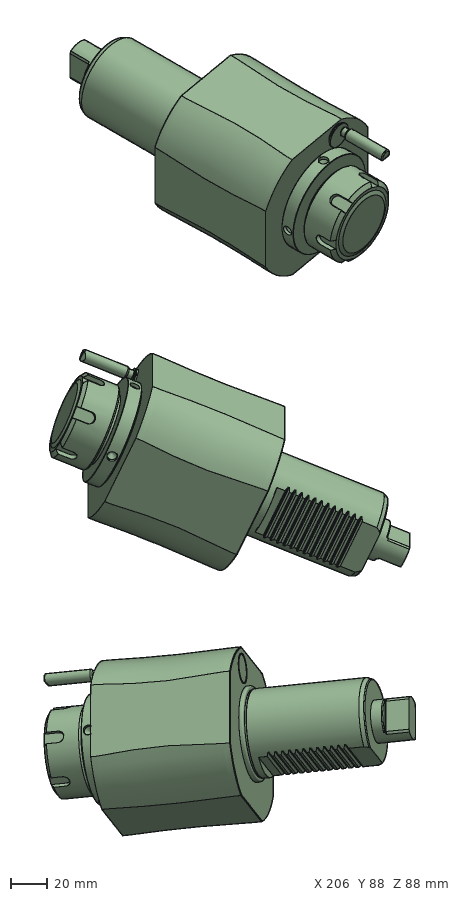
import cadquery as cq
import math

LENGTH = 206.0
SHOULDER_X = 13.8
SHANK_X = 20.6
SHANK_END_X = 88.5
SEAL_X = 89.5
BLOCK_X = 92.1
BLOCK_END_X = 172.3
COLLAR_X = 173.1
COLLAR_END_X = 181.4
NUT_X = 183.5

TANG_DIAMETER = 24.1
TANG_RADIUS = TANG_DIAMETER / 2
TANG_WIDTH = 13.2
TANG_FLAT_HEIGHT = 18.0
TANG_BEVEL = 0.6
TANG_ROOT_BEVEL = 0.6
SHOULDER_EDGE = 0.6

SHANK_RADIUS = 25.0
LEAD_IN_LENGTH = 3.0
LEAD_IN_DROP = 1.0
NOSE_EDGE = 0.6
FLAT_Z = -20.0
FLAT_END_X = 84.0
GAP_COUNT = 12
FIRST_GAP_X = 33.8
LAST_GAP_X = 78.0
GAP_PITCH = (LAST_GAP_X - FIRST_GAP_X) / (GAP_COUNT - 1)
GAP_DEPTH = 1.6
GAP_MOUTH = 2.5
GAP_ROOT = 0.6
RELIEF_RADIUS = 24.5
SEAL_RADIUS = 26.8
SEAL_ROUND = 1.0

BLOCK_SIZE = 88.0
BLOCK_END_RADIUS = 48.8
BLOCK_WAIST_RADIUS = 48.0
BLOCK_BAND = 4.0
BLOCK_EDGE = 0.5

PLUG_Y = 18.3
PLUG_Z = 32.2
PLUG_RADIUS = 8.0
GROOVE_RADIUS = 8.5
GROOVE_DEPTH = 0.5

COLLAR_NECK_RADIUS = 29.3
COLLAR_RADIUS = 31.1
COLLAR_EDGE = 0.2
SPANNER_HOLE_RADIUS = 2.9
SPANNER_HOLE_DEPTH = 2.0
SPANNER_HOLE_COUNT = 4

NUT_NECK_RADIUS = 20.8
NUT_RADIUS = 25.4
NUT_BACK_BEVEL = 1.0
NUT_ROUND_X = 203.0
NUT_FACE_X = 205.0
NUT_FACE_RADIUS = 22.7
NUT_RIM_RADIUS = 20.5
NUT_TIP_RADIUS = 18.0
SLOT_COUNT = 6
SLOT_WIDTH = 6.8
SLOT_DEPTH = 2.9
SLOT_X = 193.1
FIRST_SLOT_ANGLE = 90

BASE_Y = 17.1
BASE_Z = 35.7
BASE_RADIUS = 7.6
BASE_NECK_RADIUS = 6.8
BASE_LIP_X = 173.3
BASE_END_X = 174.2
NOZZLE_Y = 20.8
NOZZLE_Z = 36.0
NOZZLE_RADIUS = 3.5
NOZZLE_ROOT_RADIUS = 4.1
NOZZLE_NECK_RADIUS = 2.7
NOZZLE_NECK_X = 174.4
NOZZLE_NECK_END_X = 177.2
NOZZLE_BODY_X = 178.3
NOZZLE_END_X = 204.9
NOZZLE_TIP_BEVEL = 0.6
NOZZLE_CUT_X = 202.8


def turned(profile, y=0, z=0):
    """Revolve (x, radius) points about an axis parallel to X through (y, z)."""
    points = [(profile[0][0], 0), *profile, (profile[-1][0], 0)]
    solid = cq.Workplane("XY").polyline(points).close().revolve(360, (0, 0, 0), (1, 0, 0))
    return solid.translate((0, y, z))


def cylinder(start_x, end_x, radius, y=0, z=0):
    return turned([(start_x, radius), (end_x, radius)], y, z)


def drive_tang():
    half_width = TANG_WIDTH / 2
    edge_y = half_width - TANG_BEVEL
    edge_z = math.sqrt(TANG_RADIUS**2 - edge_y**2)
    section = [
        (half_width, TANG_FLAT_HEIGHT / 2),
        (edge_y, edge_z),
        (edge_y, TANG_RADIUS),
        (-edge_y, TANG_RADIUS),
        (-edge_y, edge_z),
        (-half_width, TANG_FLAT_HEIGHT / 2),
    ]
    section += [(-y, -z) for y, z in section]
    bar = cq.Workplane("YZ").polyline(section).close().extrude(SHANK_X)
    root_y = half_width + TANG_ROOT_BEVEL
    root = cq.Workplane("XY").polyline([
        (SHOULDER_X - TANG_ROOT_BEVEL, half_width),
        (SHOULDER_X, root_y),
        (SHANK_X, root_y),
        (SHANK_X, -root_y),
        (SHOULDER_X, -root_y),
        (SHOULDER_X - TANG_ROOT_BEVEL, -half_width),
    ]).close().extrude(TANG_RADIUS, both=True)
    tang = bar.union(root).intersect(cylinder(0, SHANK_X, TANG_RADIUS))
    shoulder = turned([
        (SHOULDER_X, TANG_RADIUS - SHOULDER_EDGE),
        (SHOULDER_X + SHOULDER_EDGE, TANG_RADIUS),
        (SHANK_X, TANG_RADIUS),
    ])
    return tang.union(shoulder)


def shank():
    lead_radius = SHANK_RADIUS - LEAD_IN_DROP
    body = turned([
        (SHANK_X, lead_radius - NOSE_EDGE),
        (SHANK_X + NOSE_EDGE, lead_radius),
        (SHANK_X + LEAD_IN_LENGTH, SHANK_RADIUS),
        (SHANK_END_X, SHANK_RADIUS),
        (SHANK_END_X, RELIEF_RADIUS),
        (BLOCK_X, RELIEF_RADIUS),
    ])
    seal_start_radius = SEAL_RADIUS - SEAL_ROUND
    round_inset = SEAL_ROUND * (1 - math.cos(math.pi / 4))
    round_middle = (SEAL_X + round_inset, SEAL_RADIUS - round_inset)
    seal = (
        cq.Workplane("XY")
        .moveTo(SEAL_X, 0)
        .lineTo(SEAL_X, seal_start_radius)
        .threePointArc(round_middle, (SEAL_X + SEAL_ROUND, SEAL_RADIUS))
        .lineTo(BLOCK_X, SEAL_RADIUS)
        .lineTo(BLOCK_X, 0)
        .close()
        .revolve(360, (0, 0, 0), (1, 0, 0))
    )
    below_flat = cq.Workplane("XY").box(
        FLAT_END_X - SHANK_X, 2 * SHANK_RADIUS, SHANK_RADIUS, centered=(False, True, False)
    ).translate((SHANK_X, 0, FLAT_Z - SHANK_RADIUS))
    body = body.cut(below_flat)
    for index in range(GAP_COUNT):
        gap_x = FIRST_GAP_X + index * GAP_PITCH
        gap = cq.Workplane("XZ").polyline([
            (gap_x - GAP_MOUTH / 2, FLAT_Z),
            (gap_x - GAP_ROOT / 2, FLAT_Z + GAP_DEPTH),
            (gap_x + GAP_ROOT / 2, FLAT_Z + GAP_DEPTH),
            (gap_x + GAP_MOUTH / 2, FLAT_Z),
        ]).close().extrude(SHANK_RADIUS, both=True)
        body = body.cut(gap)
    return body.union(seal)


def block():
    square = cq.Workplane("YZ").rect(BLOCK_SIZE, BLOCK_SIZE).extrude(BLOCK_END_X - BLOCK_X)
    square = square.faces("<X").chamfer(BLOCK_EDGE)
    waist = ((BLOCK_X + BLOCK_END_X) / 2, BLOCK_WAIST_RADIUS)
    envelope = (
        cq.Workplane("XY")
        .moveTo(BLOCK_X, 0)
        .lineTo(BLOCK_X, BLOCK_END_RADIUS - BLOCK_EDGE)
        .lineTo(BLOCK_X + BLOCK_EDGE, BLOCK_END_RADIUS)
        .lineTo(BLOCK_X + BLOCK_BAND, BLOCK_END_RADIUS)
        .threePointArc(waist, (BLOCK_END_X - BLOCK_BAND, BLOCK_END_RADIUS))
        .lineTo(BLOCK_END_X, BLOCK_END_RADIUS)
        .lineTo(BLOCK_END_X, 0)
        .close()
        .revolve(360, (0, 0, 0), (1, 0, 0))
    )
    groove_floor_x = BLOCK_X + GROOVE_DEPTH
    plug = cylinder(BLOCK_X, groove_floor_x, PLUG_RADIUS, PLUG_Y, PLUG_Z)
    groove = cylinder(BLOCK_X, groove_floor_x, GROOVE_RADIUS, PLUG_Y, PLUG_Z).cut(plug)
    return square.translate((BLOCK_X, 0, 0)).intersect(envelope).cut(groove)


def collar():
    ring = turned([
        (BLOCK_END_X, COLLAR_NECK_RADIUS),
        (COLLAR_X, COLLAR_NECK_RADIUS),
        (COLLAR_X, COLLAR_RADIUS - COLLAR_EDGE),
        (COLLAR_X + COLLAR_EDGE, COLLAR_RADIUS),
        (COLLAR_END_X - COLLAR_EDGE, COLLAR_RADIUS),
        (COLLAR_END_X, COLLAR_RADIUS - COLLAR_EDGE),
    ])
    floor_z = COLLAR_RADIUS - SPANNER_HOLE_DEPTH
    hole = cq.Workplane("XZ").polyline([
        (0, floor_z - SPANNER_HOLE_RADIUS),
        (SPANNER_HOLE_RADIUS, floor_z),
        (SPANNER_HOLE_RADIUS, COLLAR_RADIUS),
        (0, COLLAR_RADIUS),
    ]).close().revolve(360, (0, 0, 0), (0, 1, 0))
    hole = hole.translate(((COLLAR_X + COLLAR_END_X) / 2, 0, 0))
    for index in range(SPANNER_HOLE_COUNT):
        angle = index * 360 / SPANNER_HOLE_COUNT
        ring = ring.cut(hole.rotate((0, 0, 0), (1, 0, 0), angle))
    return ring


def collet_nut():
    nut = turned([
        (COLLAR_END_X, NUT_NECK_RADIUS),
        (NUT_X, NUT_NECK_RADIUS),
        (NUT_X, NUT_RADIUS - NUT_BACK_BEVEL),
        (NUT_X + NUT_BACK_BEVEL, NUT_RADIUS),
        (NUT_ROUND_X, NUT_RADIUS),
        (NUT_FACE_X, NUT_FACE_RADIUS),
        (NUT_FACE_X, NUT_RIM_RADIUS),
        (LENGTH, NUT_TIP_RADIUS),
    ])
    round_x = SLOT_X + SLOT_WIDTH / 2
    half_width = SLOT_WIDTH / 2
    slot = (
        cq.Workplane("XY", origin=(0, 0, NUT_RADIUS - SLOT_DEPTH))
        .moveTo(LENGTH, half_width)
        .lineTo(round_x, half_width)
        .threePointArc((SLOT_X, 0), (round_x, -half_width))
        .lineTo(LENGTH, -half_width)
        .close()
        .extrude(2 * SLOT_DEPTH)
    )
    for index in range(SLOT_COUNT):
        angle = FIRST_SLOT_ANGLE + index * 360 / SLOT_COUNT
        nut = nut.cut(slot.rotate((0, 0, 0), (1, 0, 0), angle))
    return nut


def coolant_nozzle():
    base = turned([
        (BLOCK_END_X, BASE_NECK_RADIUS),
        (BASE_LIP_X, BASE_NECK_RADIUS),
        (BASE_LIP_X, BASE_RADIUS),
        (BASE_END_X, BASE_RADIUS),
    ], BASE_Y, BASE_Z)
    nozzle = turned([
        (BLOCK_END_X, NOZZLE_ROOT_RADIUS),
        (NOZZLE_NECK_X, NOZZLE_NECK_RADIUS),
        (NOZZLE_NECK_END_X, NOZZLE_NECK_RADIUS),
        (NOZZLE_BODY_X, NOZZLE_RADIUS),
        (NOZZLE_END_X - NOZZLE_TIP_BEVEL, NOZZLE_RADIUS),
        (NOZZLE_END_X, NOZZLE_RADIUS - NOZZLE_TIP_BEVEL),
    ], NOZZLE_Y, NOZZLE_Z)
    bottom_z = NOZZLE_Z - NOZZLE_RADIUS
    cut_length = NOZZLE_END_X - NOZZLE_CUT_X
    slanted_cut = cq.Workplane("XZ", origin=(0, NOZZLE_Y, 0)).polyline([
        (NOZZLE_CUT_X, bottom_z),
        (NOZZLE_END_X, bottom_z),
        (NOZZLE_END_X, bottom_z + cut_length),
    ]).close().extrude(NOZZLE_RADIUS, both=True)
    return base.union(nozzle.cut(slanted_cut))


result = drive_tang()
for section in (shank(), block(), collar(), collet_nut(), coolant_nozzle()):
    result = result.union(section)